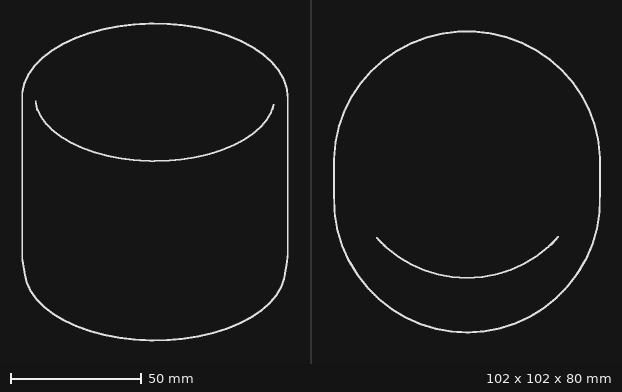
import cadquery as cq

height = 80.0
outer_radius = 51.0
foot_inset = 1.0
foot_height = 7.0
foot_radius = outer_radius - foot_inset

rim_width = 5.0
floor_thickness = 4.0
floor_radius = 35.5
mouth_radius = outer_radius - rim_width

boss_height = 4.0
boss_base_radius = 10.0
boss_top_radius = boss_base_radius - boss_height
boss_top_z = floor_thickness + boss_height

rim_fillet = 1.5
floor_fillet = 2.5
boss_fillet = 2.0

pick_margin = 0.01


def make_cup():
    """Revolve the half section of the cup about the Z axis."""
    half_section = (
        cq.Workplane("XZ")
        .lineTo(foot_radius, 0)
        .lineTo(outer_radius, foot_height)
        .lineTo(outer_radius, height)
        .lineTo(mouth_radius, height)
        .lineTo(floor_radius, floor_thickness)
        .lineTo(boss_base_radius, floor_thickness)
        .lineTo(boss_top_radius, boss_top_z)
        .lineTo(0, boss_top_z)
        .close()
    )
    return half_section.revolve(360, (0, 0, 0), (0, 1, 0))


def round_ring(solid, radius, z, fillet_radius):
    """Fillet the circular edge of the given radius at height z."""
    reach = radius + pick_margin
    ring_box = cq.selectors.BoxSelector(
        (-reach, -reach, z - pick_margin),
        (reach, reach, z + pick_margin),
        boundingbox=True,
    )
    largest_ring = cq.selectors.RadiusNthSelector(-1)
    return solid.edges(ring_box).edges(largest_ring).fillet(fillet_radius)


cup = make_cup()
cup = round_ring(cup, outer_radius, height, rim_fillet)
cup = round_ring(cup, mouth_radius, height, rim_fillet)
cup = round_ring(cup, floor_radius, floor_thickness, floor_fillet)
cup = round_ring(cup, boss_base_radius, floor_thickness, boss_fillet)
cup = round_ring(cup, boss_top_radius, boss_top_z, boss_fillet)

result = cup